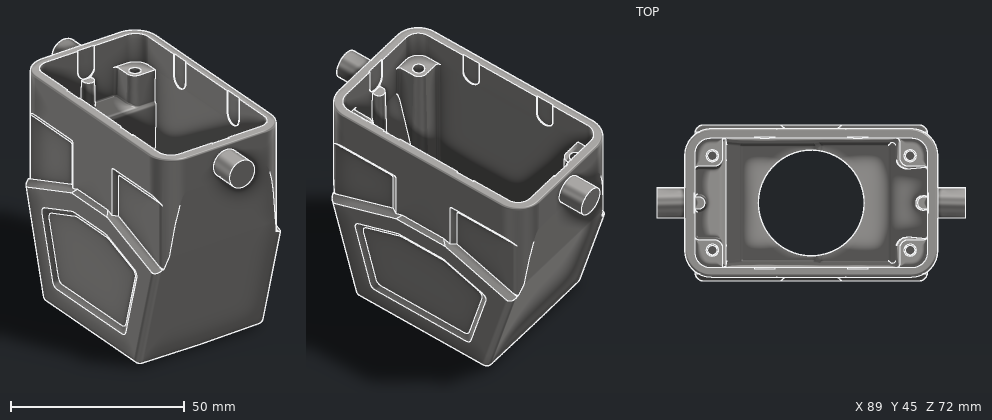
import cadquery as cq
import math

HEIGHT = 72.0
UPPER_LENGTH = 72.9
UPPER_WIDTH = 42.8
UPPER_CORNER_RADIUS = 7.7
RIM_FILLET = 0.8
LOWER_WIDTH = 45.0
LOWER_FILLET = 2.0
BOTTOM_DRAFT = math.radians(1.0)

LEAN_START_Z = 60.6
KINK_Z = 40.0
SLIGHT_LEAN = math.radians(5.0)
END_LEAN = math.radians(15.0)
KINK_RADIUS = 6.0

ROOF_Z = 42.7
ROOF_HALF_LENGTH = 8.9
ROOF_SLOPE = math.radians(20.0)
BEVEL_REACH = 1.8
CREST_BEVEL_RATIO = 1.5 / 1.1
FLANK_BEVEL_RATIO = 1.8 / 2.1

PANEL_DEPTH = 1.0
PANEL_BEVEL_RUN = 1.8
PANEL_BEVEL_ANGLE = math.degrees(math.atan2(PANEL_BEVEL_RUN, PANEL_DEPTH))
RECESS_START_X = 9.8
RECESS_TOP_Z = 59.0
RECESS_CORNER_RADIUS = 1.8
RECESS_END_RADIUS = 2.0
PLATE_TOP_Z = 36.9
PLATE_TOP_HALF_LENGTH = 8.2
PLATE_SHOULDER = (24.2, 31.1)
PLATE_BOTTOM_Z = 7.7
PLATE_CORNER_RADIUS = 4.5

PIN_DIAMETER = 8.8
PIN_SPAN = 89.0
PIN_Z = 65.8

CAVITY_LENGTH = 67.0
CAVITY_WIDTH = 37.3
CAVITY_CORNER_RADIUS = 4.5
LEDGE_Z = 62.7
WALL_DRAFT = 1.5
FLOOR_Z = 3.0
RAISED_FLOOR_Z = 12.3
FLOOR_END_X = 20.3
FLOOR_STEP_X = 1.2
FLOOR_STEP_RUN = 1.7
FLOOR_FILLET = 0.9
ENTRY_DIAMETER = 30.4

BOSS_INNER_X = 25.5
BOSS_INNER_Y = 10.6
BOSS_CORNER_RADIUS = 2.5
BOSS_FILLET = 1.0
SCREW_X = 28.5
SCREW_Y = 13.6
SCREW_BOTTOM_DIAMETER = 2.7
SCREW_MOUTH_DIAMETER = 3.5
SCREW_DEPTH = 12.0
SHELF_Z = 53.0
SHELF_EDGE_X = 24.6
SHELF_EDGE_RADIUS = 2.0
SHELF_FILLET = 0.8
RIB_X = 32.4
RIB_TOP_DIAMETER = 3.5
RIB_TOP_Z = 62.0
SLOT_X = 13.4
SLOT_WIDTH = 5.8
SLOT_DEPTH = 0.3
SLOT_BOTTOM_Z = 62.0

FAR = 100.0
CATCH = 0.5


def end_x(z):
    """Half length of the outer body in its strongly leaning stretch."""
    kink_x = UPPER_LENGTH / 2 - (LEAN_START_Z - KINK_Z) * math.tan(SLIGHT_LEAN)
    return kink_x - (KINK_Z - z) * math.tan(END_LEAN)


def mirrored_profile(right_side):
    """Closed XZ outline from the points of its right half, listed from the bottom up."""
    left_side = [(-x, z) for x, z in reversed(right_side)]
    return cq.Workplane("XZ").polyline(right_side + left_side).close()


def near(low, high):
    """Selects what is centred in the box between two corners, each widened a little."""
    return cq.selectors.BoxSelector(
        tuple(value - CATCH for value in low), tuple(value + CATCH for value in high)
    )


def both_ways(shape_for_front):
    """A shape on the front wall together with its mirror image on the back wall."""
    return shape_for_front.union(shape_for_front.mirror("XZ"))


def at_four_corners(shape):
    """A shape together with its mirror images across both middle planes."""
    pair = both_ways(shape)
    return pair.union(pair.mirror("YZ"))


def roof_z(x, raise_by):
    """Height of the roof flank at x, with the flank moved outwards by raise_by."""
    return ROOF_Z + raise_by / math.cos(ROOF_SLOPE) - (x - ROOF_HALF_LENGTH) * math.tan(ROOF_SLOPE)


def recess():
    """Bevelled recess on the right of the front wall."""
    return (
        cq.Workplane("XZ", origin=(0, -UPPER_WIDTH / 2, 0))
        .moveTo(RECESS_START_X, RECESS_TOP_Z)
        .lineTo(FAR, RECESS_TOP_Z)
        .lineTo(FAR, -FAR)
        .lineTo(RECESS_START_X, -FAR)
        .close()
        .extrude(-PANEL_DEPTH, taper=PANEL_BEVEL_ANGLE)
        .edges("not(#Y)")
        .fillet(RECESS_CORNER_RADIUS)
    )


def upper_body():
    """Rounded box with inward-leaning ends and four recessed panels."""
    block = (
        cq.Workplane("XY")
        .rect(UPPER_LENGTH, UPPER_WIDTH)
        .extrude(HEIGHT)
        .edges("|Z")
        .fillet(UPPER_CORNER_RADIUS)
        .faces(">Z")
        .edges()
        .fillet(RIM_FILLET)
    )
    silhouette = mirrored_profile([
        (end_x(LOWER_FILLET), LOWER_FILLET),
        (end_x(KINK_Z), KINK_Z),
        (UPPER_LENGTH / 2, LEAN_START_Z),
        (UPPER_LENGTH / 2, HEIGHT),
    ]).extrude(UPPER_WIDTH, both=True)
    kinks = near((-FAR, -FAR, KINK_Z), (FAR, FAR, KINK_Z))
    silhouette = silhouette.edges("|Y").edges(kinks).fillet(KINK_RADIUS)
    corner_x = UPPER_LENGTH / 2 - UPPER_CORNER_RADIUS
    body = block.cut(at_four_corners(recess()))
    for end in (-1, 1):
        x_from, x_to = sorted((end * corner_x, end * UPPER_LENGTH / 2))
        recess_ends = near((x_from, -FAR, 0), (x_to, FAR, RECESS_TOP_Z / 2))
        body = body.edges("|Z").edges(recess_ends).fillet(RECESS_END_RADIUS)
    return body.intersect(silhouette)


def roof_bevel(side, bevel_ratio):
    """Material above the bevel on one front roof line: side is -1 or 1 for flanks, 0 for the crest."""
    along = cq.Vector(math.cos(ROOF_SLOPE * side), 0, -math.sin(ROOF_SLOPE * side))
    depth = LOWER_WIDTH / 2
    plane = cq.Plane(
        origin=(side * ROOF_HALF_LENGTH, -depth, ROOF_Z), xDir=(0, 1, 0), normal=along
    )
    rise = depth * bevel_ratio
    wedge = [(-depth, -rise), (depth, rise), (-depth, rise)]
    return cq.Workplane(plane).polyline(wedge).close().extrude(FAR, both=True)


def lower_body():
    """Wide pentagonal body with bevelled roof lines."""
    crest_x = ROOF_HALF_LENGTH + BEVEL_REACH * math.tan(ROOF_SLOPE / 2)
    shoulder_x = end_x(roof_z(0, BEVEL_REACH)) / (1 + math.tan(END_LEAN) * math.tan(ROOF_SLOPE))
    prism = mirrored_profile([
        (end_x(0), 0),
        (shoulder_x, roof_z(shoulder_x, BEVEL_REACH)),
        (crest_x, roof_z(crest_x, BEVEL_REACH)),
    ]).extrude(LOWER_WIDTH / 2, both=True)
    edge_rise = FAR * math.tan(BOTTOM_DRAFT)
    underside = (
        cq.Workplane("YZ")
        .polyline([(-FAR, edge_rise), (0, 0), (FAR, edge_rise), (FAR, -1), (-FAR, -1)])
        .close()
        .extrude(FAR, both=True)
    )
    below_roof = near((-FAR, -FAR, 0), (FAR, FAR, ROOF_Z / 2))
    ridge = near((0, 0, 0), (0, 0, 0))
    body = prism.cut(underside).edges(below_roof - ridge).fillet(LOWER_FILLET)
    for side, ratio in ((-1, FLANK_BEVEL_RATIO), (0, CREST_BEVEL_RATIO), (1, FLANK_BEVEL_RATIO)):
        body = body.cut(both_ways(roof_bevel(side, ratio)))
    return body


def name_plate():
    """Bevelled five-sided recess in the front face of the lower body."""
    shoulder_x, shoulder_z = PLATE_SHOULDER
    bottom_x = shoulder_x - (shoulder_z - PLATE_BOTTOM_Z) * math.tan(END_LEAN)
    right_side = [
        (bottom_x, PLATE_BOTTOM_Z), PLATE_SHOULDER, (PLATE_TOP_HALF_LENGTH, PLATE_TOP_Z)
    ]
    left_side = [(-x, z) for x, z in reversed(right_side)]
    return (
        cq.Workplane("XZ", origin=(0, -LOWER_WIDTH / 2, 0))
        .polyline(right_side + left_side)
        .close()
        .extrude(-PANEL_DEPTH, taper=PANEL_BEVEL_ANGLE)
        .edges("not(#Y)")
        .fillet(PLATE_CORNER_RADIUS)
    )


def pins():
    """Both locking pins as one bar; the cavity later removes its middle."""
    return (
        cq.Workplane("YZ", origin=(-PIN_SPAN / 2, 0, PIN_Z)).circle(PIN_DIAMETER / 2).extrude(PIN_SPAN)
    )


def drafted_hollow():
    """Lower cavity: leaning ends, drafted long walls and a floor with a raised right half."""
    raised_end_x = FLOOR_END_X + (RAISED_FLOOR_Z - FLOOR_Z) * math.tan(END_LEAN)
    lean_top_z = FLOOR_Z + (CAVITY_LENGTH / 2 - FLOOR_END_X) / math.tan(END_LEAN)
    profile = (
        cq.Workplane("XZ")
        .moveTo(-CAVITY_LENGTH / 2, LEDGE_Z)
        .lineTo(-CAVITY_LENGTH / 2, SHELF_Z)
        .lineTo(-SHELF_EDGE_X, SHELF_Z)
        .lineTo(-SHELF_EDGE_X, FLOOR_Z + (SHELF_EDGE_X - FLOOR_END_X) / math.tan(END_LEAN))
        .lineTo(-FLOOR_END_X, FLOOR_Z)
        .lineTo(FLOOR_STEP_X, FLOOR_Z)
        .lineTo(FLOOR_STEP_X + FLOOR_STEP_RUN, RAISED_FLOOR_Z)
        .lineTo(raised_end_x, RAISED_FLOOR_Z)
        .lineTo(CAVITY_LENGTH / 2, lean_top_z)
        .lineTo(CAVITY_LENGTH / 2, LEDGE_Z)
        .close()
        .extrude(CAVITY_WIDTH, both=True)
    )
    shelf_edge = near((-SHELF_EDGE_X, -FAR, SHELF_Z), (-SHELF_EDGE_X, FAR, SHELF_Z))
    profile = profile.edges("|Y").edges(shelf_edge).fillet(SHELF_EDGE_RADIUS)
    wall_inset = (LEDGE_Z - FLOOR_Z) * math.tan(math.radians(WALL_DRAFT))
    top_y = CAVITY_WIDTH / 2
    floor_y = top_y - wall_inset
    walls = (
        cq.Workplane("YZ")
        .polyline([(-top_y, LEDGE_Z), (-floor_y, FLOOR_Z), (floor_y, FLOOR_Z), (top_y, LEDGE_Z)])
        .close()
        .extrude(CAVITY_LENGTH, both=True)
    )
    floor_edges = near((-FAR, -FAR, FLOOR_Z), (FAR, FAR, RAISED_FLOOR_Z))
    return profile.intersect(walls).edges(floor_edges).fillet(FLOOR_FILLET)


def boss():
    """Corner boss at +X, -Y, widening downwards and reaching into the outer walls."""
    outline = cq.Sketch().rect(UPPER_LENGTH, LOWER_WIDTH).vertices().fillet(BOSS_CORNER_RADIUS)
    center = (BOSS_INNER_X + UPPER_LENGTH / 2, -BOSS_INNER_Y - LOWER_WIDTH / 2, LEDGE_Z)
    return (
        cq.Workplane("XY", origin=center).placeSketch(outline).extrude(-LEDGE_Z, taper=-WALL_DRAFT)
    )


def boss_foot(x, y):
    """Selects the upright inner edges where a boss meets a cavity wall near x, y."""
    reach = BOSS_FILLET
    return cq.selectors.BoxSelector(
        (x - reach, y - reach, RAISED_FLOOR_Z), (x + reach, y + reach, LEDGE_Z - reach)
    )


def rib():
    """Round-nosed rib standing against the right end wall."""
    nose = (
        cq.Workplane("XY", origin=(RIB_X, 0, RIB_TOP_Z))
        .circle(RIB_TOP_DIAMETER / 2)
        .extrude(-RIB_TOP_Z, taper=-WALL_DRAFT)
    )
    web = (
        cq.Workplane("XY", origin=(RIB_X, 0, RIB_TOP_Z))
        .rect(2 * (UPPER_LENGTH / 2 - RIB_X), RIB_TOP_DIAMETER)
        .extrude(-RIB_TOP_Z, taper=-WALL_DRAFT)
    )
    right_half = cq.Workplane("XY").box(FAR, FAR, FAR, centered=(False, True, False))
    return nose.union(web.intersect(right_half.translate((RIB_X, 0, 0))))


def slot_cutter(length):
    """Round-bottomed slot shape, as long as needed to notch both opposite walls."""
    radius = SLOT_WIDTH / 2
    return (
        cq.Workplane("XZ")
        .moveTo(-radius, HEIGHT)
        .lineTo(-radius, SLOT_BOTTOM_Z + radius)
        .threePointArc((0, SLOT_BOTTOM_Z), (radius, SLOT_BOTTOM_Z + radius))
        .lineTo(radius, HEIGHT)
        .close()
        .extrude(length / 2 + SLOT_DEPTH, both=True)
    )


def cavity():
    """Everything hollow above the floor, with bosses, ribs and shelf left standing."""
    mouth = (
        cq.Workplane("XY", origin=(0, 0, LEDGE_Z))
        .rect(CAVITY_LENGTH, CAVITY_WIDTH)
        .extrude(HEIGHT - LEDGE_Z)
        .edges("|Z")
        .fillet(CAVITY_CORNER_RADIUS)
    )
    ribs = rib().union(rib().mirror("YZ"))
    hollow = drafted_hollow().cut(at_four_corners(boss())).cut(ribs)
    for side in (-1, 1):
        hollow = hollow.edges(boss_foot(BOSS_INNER_X, side * CAVITY_WIDTH / 2)).fillet(BOSS_FILLET)
        for end in (-1, 1):
            hollow = hollow.edges(boss_foot(end * CAVITY_LENGTH / 2, side * BOSS_INNER_Y)).fillet(BOSS_FILLET)
    shelf_rim = near((-FAR, -FAR, SHELF_Z), (-SHELF_EDGE_X - SHELF_EDGE_RADIUS - 2 * CATCH, FAR, SHELF_Z))
    hollow = hollow.edges(shelf_rim).fillet(SHELF_FILLET)
    slots = slot_cutter(CAVITY_LENGTH).rotate((0, 0, 0), (0, 0, 1), 90).cut(ribs)
    for x in (-SLOT_X, SLOT_X):
        slots = slots.union(slot_cutter(CAVITY_WIDTH).translate((x, 0, 0)))
    return mouth.union(hollow).union(slots)


def screw_holes():
    """Blind holes that narrow from mouth to bottom."""
    narrowing = math.degrees(math.atan2((SCREW_MOUTH_DIAMETER - SCREW_BOTTOM_DIAMETER) / 2, SCREW_DEPTH))
    return (
        cq.Workplane("XY", origin=(0, 0, LEDGE_Z))
        .rect(2 * SCREW_X, 2 * SCREW_Y, forConstruction=True)
        .vertices()
        .circle(SCREW_MOUTH_DIAMETER / 2)
        .extrude(-SCREW_DEPTH, taper=narrowing)
    )


cable_entry = cq.Workplane("XY").circle(ENTRY_DIAMETER / 2).extrude(RAISED_FLOOR_Z)

result = (
    upper_body()
    .union(lower_body())
    .cut(both_ways(name_plate()))
    .union(pins())
    .cut(cavity())
    .cut(screw_holes())
    .cut(cable_entry)
)